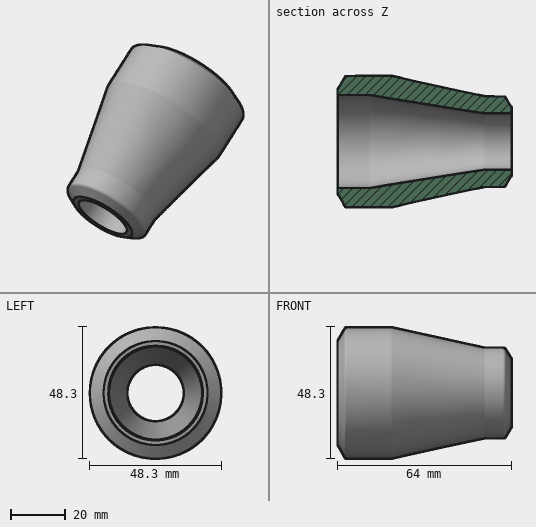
import cadquery as cq

length = 64.0

large_radius = 48.3 / 2
large_face_radius = 19.1
large_bevel_length = 2.95
large_length = 20.0
large_edge_rounding = 0.7

small_radius = 33.4 / 2
small_face_radius = 12.5
small_bevel_length = 2.5
small_length = 10.0
small_edge_rounding = 1.2

large_bore_radius = 34.1 / 2
large_bore_length = 12.0
mouth_chamfer = 0.3
small_bore_radius = 20.6 / 2

taper_end = length - small_length
small_bevel_start = length - small_bevel_length


def revolve_about_x(profile):
    """Close a half profile along the X axis and spin it into a solid."""
    return profile.close().revolve(360, (0, 0, 0), (1, 0, 0))


def round_circle(body, x, radius, rounding):
    """Round the outer circular edge of the given radius at position x."""
    margin = 0.05
    reach = radius + margin
    edge_box = cq.selectors.BoxSelector(
        (x - margin, -reach, -reach),
        (x + margin, reach, reach),
        boundingbox=True,
    )
    return body.edges(edge_box).fillet(rounding)


body = revolve_about_x(
    cq.Workplane("XZ")
    .lineTo(0, large_face_radius)
    .lineTo(large_bevel_length, large_radius)
    .lineTo(large_length, large_radius)
    .lineTo(taper_end, small_radius)
    .lineTo(small_bevel_start, small_radius)
    .lineTo(length, small_face_radius)
    .lineTo(length, 0)
)
body = round_circle(body, large_bevel_length, large_radius, large_edge_rounding)
body = round_circle(body, small_bevel_start, small_radius, small_edge_rounding)

bore = revolve_about_x(
    cq.Workplane("XZ")
    .lineTo(0, large_bore_radius + mouth_chamfer)
    .lineTo(mouth_chamfer, large_bore_radius)
    .lineTo(large_bore_length, large_bore_radius)
    .lineTo(taper_end, small_bore_radius)
    .lineTo(length, small_bore_radius)
    .lineTo(length, 0)
)

result = body.cut(bore)